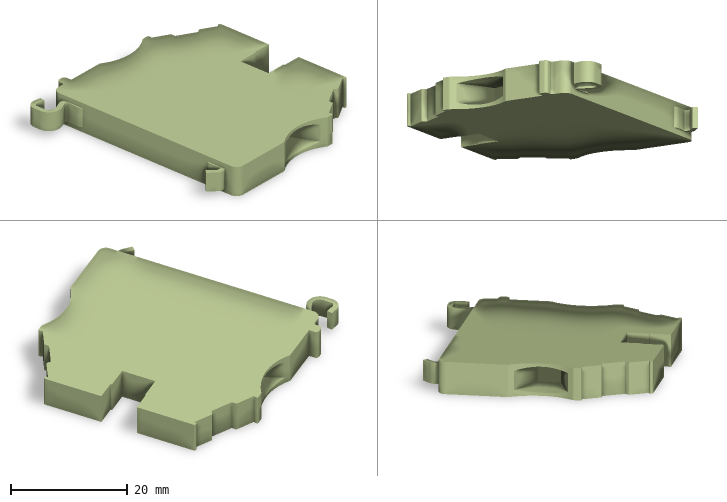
import cadquery as cq
import math


HALF_WIDTH = 21.0
HEIGHT = 36.55
THICKNESS = 5.75
BOTTOM_CORNER_RADIUS = 1.5

NUB_REACH = 1.65
NUB_BOTTOM = 3.1
NUB_TOP = 4.95
NUB_RADIUS = 0.6
NUB_ROOT_RADIUS = 0.5

SLOT_BOTTOM = 28.85
SLOT_STEP = 32.85
SLOT_LEFT = -3.15
SLOT_RIGHT = 3.2
SLOT_LEFT_STEP = 0.17
SLOT_RIGHT_STEP = 0.25

RECESS_CENTER_Y = 18.1
RECESS_HALF_CHORD = 5.7
RECESS_DEPTH = 1.85
RECESS_RIM_RADIUS = 0.7

POCKET_CENTER_Y = 18.05
POCKET_MOUTH_X = 20.3
POCKET_MOUTH_HALF_WIDTH = 4.68
POCKET_FLOOR_X = 12.25
POCKET_FLOOR_HALF_WIDTH = 2.0
POCKET_MIDDLE_HEIGHT = 4.65
POCKET_END_HEIGHT = 3.4

FOOT_WIDTH = 3.7

FLANK_CORNERS = [
    (14.5, HEIGHT, 0.3),
    (14.5, 35.88, 0.3),
    (14.0, 35.88, 0),
    (15.85, 32.65, 0),
    (15.4, 31.85, 0),
    (17.5, 28.25, 0),
    (18.4, 28.25, 0),
    (20.2, 25.1, 0),
    (20.55, 25.2, 0),
    (HALF_WIDTH, 25.2, 0.17),
]

LEFT_FOOT_CORNERS = [
    (-18.4, 0, 0),
    (-18.65, -0.8, 0.45),
    (-17.15, -4.5, 1.25),
    (-21.45, -4.5, 0.65),
    (-21.0, -2.2, 0),
    (-22.02, -2.0, 0),
    (-22.7, -5.45, 1.8),
    (-15.7, -5.45, 2.35),
    (-17.87, -0.17, 0.35),
    (-14.6, -0.4, 1.55),
    (-14.1, 0, 0),
]

RIGHT_FOOT_CORNERS = [
    (14.05, 0, 0),
    (14.55, -0.4, 1.55),
    (17.45, -0.17, 0.4),
    (17.5, -1.15, 0.35),
    (16.0, -2.6, 0),
    (16.7, -3.28, 0),
    (18.65, -1.2, 1.3),
    (18.2, 0, 0),
]


def rounded_prism(corners, depth):
    """Closed outline of (x, y, corner radius) corners, extruded to a depth centred on Z = 0."""
    points = [cq.Vector(x, y) for x, y, _ in corners]
    bends = []
    for i, (_, _, radius) in enumerate(corners):
        corner = points[i]
        back = (points[i - 1] - corner).normalized()
        ahead = (points[(i + 1) % len(points)] - corner).normalized()
        half_angle = back.getAngle(ahead) / 2
        run = radius / math.tan(half_angle)
        bisector = (back + ahead).normalized()
        middle = corner + bisector * (radius / math.sin(half_angle) - radius)
        bends.append((corner + back * run, middle, corner + ahead * run))
    edges = []
    for i, (start, middle, end) in enumerate(bends):
        previous_end = bends[i - 1][2]
        edges.append(cq.Edge.makeLine(previous_end, start))
        if corners[i][2] > 0:
            edges.append(cq.Edge.makeThreePointArc(start, middle, end))
    outline = cq.Wire.assembleEdges(edges)
    prism = cq.Workplane("XY").add(outline).toPending().extrude(depth)
    return prism.translate((0, 0, -depth / 2))


def make_blank():
    """Housing outline with slot, flanks and nub, before the recesses are cut."""
    slot = [
        (SLOT_RIGHT + SLOT_RIGHT_STEP, HEIGHT, 0),
        (SLOT_RIGHT + SLOT_RIGHT_STEP, SLOT_STEP, 0),
        (SLOT_RIGHT, SLOT_STEP, 0),
        (SLOT_RIGHT, SLOT_BOTTOM, 0),
        (SLOT_LEFT, SLOT_BOTTOM, 0),
        (SLOT_LEFT, SLOT_STEP, 0),
        (SLOT_LEFT - SLOT_LEFT_STEP, SLOT_STEP, 0),
        (SLOT_LEFT - SLOT_LEFT_STEP, HEIGHT, 0),
    ]
    left_flank = [(-x, y, radius) for x, y, radius in FLANK_CORNERS]
    right_flank = FLANK_CORNERS[::-1]
    nub_tip = -HALF_WIDTH - NUB_REACH
    nub = [
        (-HALF_WIDTH, NUB_TOP, 0),
        (nub_tip, NUB_TOP, NUB_RADIUS),
        (nub_tip, NUB_BOTTOM, NUB_RADIUS),
        (-HALF_WIDTH, NUB_BOTTOM, NUB_ROOT_RADIUS),
    ]
    bottom = [
        (-HALF_WIDTH, 0, BOTTOM_CORNER_RADIUS),
        (HALF_WIDTH, 0, BOTTOM_CORNER_RADIUS),
    ]
    return rounded_prism(slot + left_flank + nub + bottom + right_flank, THICKNESS)


def make_finger_recess():
    """Upright cylinder that scoops the arc out of the +X wall."""
    radius = (RECESS_HALF_CHORD**2 + RECESS_DEPTH**2) / (2 * RECESS_DEPTH)
    center_x = HALF_WIDTH - RECESS_DEPTH + radius
    return cq.Workplane("XY").center(center_x, RECESS_CENTER_Y).circle(radius).extrude(THICKNESS, both=True)


def make_wire_pocket():
    """Pocket narrowing inwards from the +X wall, with barrel-shaped top and bottom faces."""
    taper = (POCKET_MOUTH_HALF_WIDTH - POCKET_FLOOR_HALF_WIDTH) / (POCKET_MOUTH_X - POCKET_FLOOR_X)
    wall_half_width = POCKET_MOUTH_HALF_WIDTH + taper * (HALF_WIDTH - POCKET_MOUTH_X)
    wedge = (
        cq.Workplane("XY")
        .center(0, POCKET_CENTER_Y)
        .moveTo(POCKET_FLOOR_X, -POCKET_FLOOR_HALF_WIDTH)
        .lineTo(HALF_WIDTH, -wall_half_width)
        .lineTo(HALF_WIDTH, wall_half_width)
        .lineTo(POCKET_FLOOR_X, POCKET_FLOOR_HALF_WIDTH)
        .close()
        .extrude(THICKNESS, both=True)
    )
    sagitta = (POCKET_MIDDLE_HEIGHT - POCKET_END_HEIGHT) / 2
    barrel_radius = (POCKET_MOUTH_HALF_WIDTH**2 + sagitta**2) / (2 * sagitta)
    for side in (-1, 1):
        center_z = side * (POCKET_MIDDLE_HEIGHT / 2 - barrel_radius)
        barrel = cq.Workplane("YZ").center(POCKET_CENTER_Y, center_z).circle(barrel_radius).extrude(HALF_WIDTH)
        wedge = wedge.intersect(barrel)
    return wedge


def make_housing():
    side_cut = make_finger_recess().union(make_wire_pocket())
    body = make_blank().cut(side_cut).cut(side_cut.mirror("YZ"))
    rim_y = RECESS_CENTER_Y + RECESS_HALF_CHORD
    for rim_x in (-HALF_WIDTH, HALF_WIDTH):
        body = body.edges(cq.selectors.NearestToPointSelector((rim_x, rim_y, 0))).fillet(RECESS_RIM_RADIUS)
    return body


housing = make_housing()
left_foot = rounded_prism(LEFT_FOOT_CORNERS, FOOT_WIDTH)
right_foot = rounded_prism(RIGHT_FOOT_CORNERS, FOOT_WIDTH)

result = cq.Compound.makeCompound([housing.val(), left_foot.val(), right_foot.val()])